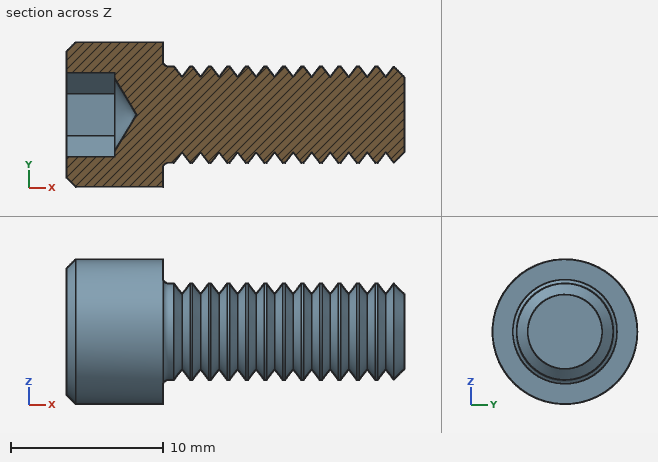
import cadquery as cq
import math

total_length = 22.23
head_diameter = 9.54
head_radius = head_diameter / 2
head_chamfer = 0.62
shank_diameter = 6.35
shank_radius = shank_diameter / 2
head_length = shank_diameter

neck_length = 0.35
neck_rise = 0.25
neck_radius = (neck_length**2 + neck_rise**2) / (2 * neck_rise)

thread_span = 13.38
groove_count = 12
thread_pitch = thread_span / (groove_count - 1)
crest_width = 0.15
root_radius = 2.5
first_root_x = 7.6
groove_half_width = (thread_pitch - crest_width) / 2

tip_radius = 2.45

socket_flats = 4.75
socket_depth = head_length / 2
socket_cone_angle = 118.0


def make_blank():
    """Revolve the head, neck and smooth shank about the X axis."""
    neck_end = head_length + neck_length
    half_turn = math.asin(neck_length / neck_radius) / 2
    arc_middle = (
        neck_end - neck_radius * math.sin(half_turn),
        shank_radius + neck_radius * (1 - math.cos(half_turn)),
    )
    profile = (
        cq.Workplane("XY")
        .lineTo(0, head_radius - head_chamfer)
        .lineTo(head_chamfer, head_radius)
        .lineTo(head_length, head_radius)
        .lineTo(head_length, shank_radius + neck_rise)
        .threePointArc(arc_middle, (neck_end, shank_radius))
        .lineTo(total_length - (shank_radius - tip_radius), shank_radius)
        .lineTo(total_length, tip_radius)
        .lineTo(total_length, 0)
        .close()
    )
    return profile.revolve(360, (0, 0), (1, 0))


def make_groove(root_x):
    """Return the V-shaped ring removed around one thread root."""
    profile = cq.Workplane("XY").polyline([
        (root_x - groove_half_width, shank_radius),
        (root_x, root_radius),
        (root_x + groove_half_width, shank_radius),
    ]).close()
    return profile.revolve(360, (0, 0), (1, 0))


def make_socket():
    """Return the hexagon, with corners toward +Y and -Y, and its cone."""
    corner_diameter = socket_flats / math.cos(math.pi / 6)
    hexagon = cq.Workplane("YZ").polygon(6, corner_diameter).extrude(socket_depth)
    cone_radius = socket_flats / 2
    cone_depth = cone_radius / math.tan(math.radians(socket_cone_angle / 2))
    cone = (
        cq.Workplane("XY")
        .polyline([
            (socket_depth, 0),
            (socket_depth, cone_radius),
            (socket_depth + cone_depth, 0),
        ])
        .close()
        .revolve(360, (0, 0), (1, 0))
    )
    return hexagon.union(cone)


result = make_blank().cut(make_socket())
for groove_index in range(groove_count):
    result = result.cut(make_groove(first_root_x + groove_index * thread_pitch))